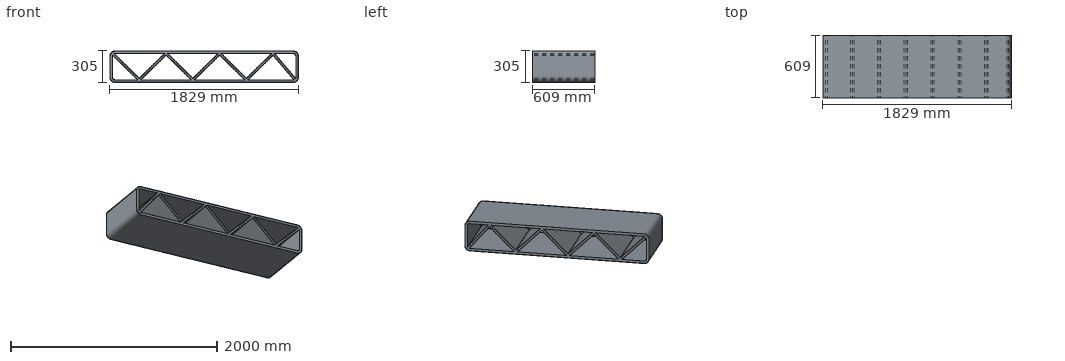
import cadquery as cq
import math

length = 1829.0
depth = 609.0
height = 305.0

wall = 25.0
outer_radius = 51.0
inner_radius = outer_radius - wall

node_pitch = 260.0
full_bays = 6
brace_thickness = 22.0
last_node_inset = 4.0
brace_overlap = wall / 2

inner_length = length - 2 * wall
inner_height = height - 2 * wall


def rounded_block(size_x, size_z, radius):
    """Block through the full depth with its four long edges rounded."""
    return cq.Workplane("XY").box(size_x, depth, size_z).edges("|Y").fillet(radius)


def brace(start, end):
    """Flat plate through the full depth joining two (x, z) nodes."""
    run = end[0] - start[0]
    rise = end[1] - start[1]
    plate_length = math.hypot(run, rise) + 2 * brace_overlap
    tilt = math.degrees(math.atan2(rise, run))
    plate = cq.Workplane("XY").box(plate_length, depth, brace_thickness)
    plate = plate.rotate((0, 0, 0), (0, 1, 0), -tilt)
    return plate.translate(((start[0] + end[0]) / 2, 0, (start[1] + end[1]) / 2))


nodes = []
for index in range(full_bays + 1):
    side = 1 if index % 2 == 0 else -1
    nodes.append((-inner_length / 2 + index * node_pitch, side * inner_height / 2))
nodes.append((inner_length / 2 - last_node_inset, -inner_height / 2))

outer_block = rounded_block(length, height, outer_radius)
result = outer_block.cut(rounded_block(inner_length, inner_height, inner_radius))
for start, end in zip(nodes, nodes[1:]):
    result = result.union(brace(start, end).intersect(outer_block))